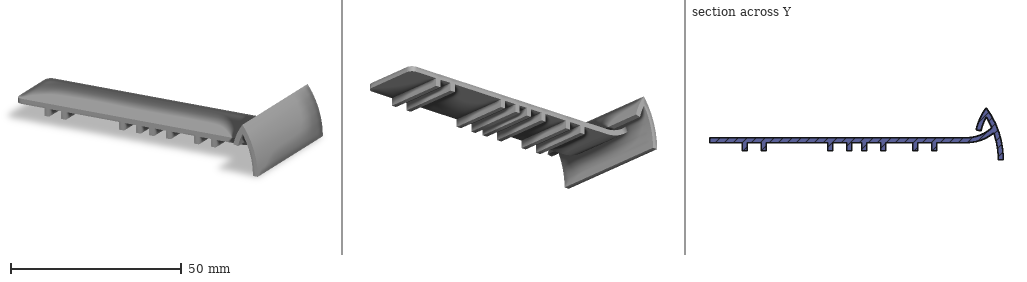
import cadquery as cq
import math

overall_length = 86.3
overall_height = 15.4
wall = 1.6

strip_width = 20.0
corner_radius = 2.0
bend_start = 75.5
bend_inner_radius = 10.8
bend_outer_radius = bend_inner_radius + wall

rib_height = 2.4
rib_pitch = 5.6
first_rib = 9.6
pair_offsets = (0.0, 25.0, 35.0, 50.0)

hook_width = 40.0
hook_bottom = -5.0
hook_tip = hook_bottom + overall_height
main_radius = 25.8
main_inner_radius = main_radius - wall
barb_radius = 17.8
barb_inner_radius = barb_radius - wall
barb_end_angle = math.radians(13.0)

tip_angle = math.asin(overall_height / main_radius)
main_centre = (overall_length - main_radius, hook_bottom)
tip = (main_centre[0] + main_radius * math.cos(tip_angle), hook_tip)

barb_centre = (
    tip[0] + barb_radius * math.cos(tip_angle),
    tip[1] - barb_radius * math.sin(tip_angle),
)


def main_point(radius, angle):
    """Point (X, Z) on an arc of the main wall."""
    return (
        main_centre[0] + radius * math.cos(angle),
        main_centre[1] + radius * math.sin(angle),
    )


def barb_point(radius, angle):
    """Point (X, Z) on an arc of the barb, which bulges toward -X."""
    return (
        barb_centre[0] - radius * math.cos(angle),
        barb_centre[1] + radius * math.sin(angle),
    )


def inner_apex_angles():
    """Angles on the inner main and inner barb arcs at the point where they cross."""
    dx = barb_centre[0] - main_centre[0]
    dz = barb_centre[1] - main_centre[1]
    distance = math.hypot(dx, dz)
    direction = math.atan2(dz, dx)
    cosine = (main_inner_radius**2 + distance**2 - barb_inner_radius**2) / (2 * main_inner_radius * distance)
    main_angle = direction + math.acos(cosine)
    apex_height = main_centre[1] + main_inner_radius * math.sin(main_angle)
    barb_angle = math.asin((apex_height - barb_centre[1]) / barb_inner_radius)
    return main_angle, barb_angle


def extrude_across(profile, width):
    """Extrude an XZ profile by width, centred on Y = 0."""
    return profile.extrude(width / 2, both=True)


def make_hook():
    apex_main, apex_barb = inner_apex_angles()
    barb_middle = (tip_angle + barb_end_angle) / 2
    barb_inner_middle = (apex_barb + barb_end_angle) / 2
    profile = (
        cq.Workplane("XZ")
        .moveTo(*main_point(main_radius, 0))
        .threePointArc(main_point(main_radius, tip_angle / 2), tip)
        .threePointArc(
            barb_point(barb_radius, barb_middle),
            barb_point(barb_radius, barb_end_angle),
        )
        .lineTo(*barb_point(barb_inner_radius, barb_end_angle))
        .threePointArc(
            barb_point(barb_inner_radius, barb_inner_middle),
            barb_point(barb_inner_radius, apex_barb),
        )
        .threePointArc(main_point(main_inner_radius, apex_main / 2), main_point(main_inner_radius, 0))
        .close()
    )
    return extrude_across(profile, hook_width)


def make_strip():
    strip = cq.Workplane("XY").box(bend_start, strip_width, wall, centered=(False, True, False))
    return strip.edges("|Z and <X").fillet(corner_radius)


def make_bend():
    """Upward-curving continuation of the strip, trimmed by the main wall's outer surface."""
    centre_z = wall + bend_inner_radius
    diagonal = math.sqrt(0.5)
    quarter_ring = (
        cq.Workplane("XZ")
        .moveTo(bend_start, 0)
        .threePointArc(
            (bend_start + bend_outer_radius * diagonal, centre_z - bend_outer_radius * diagonal),
            (bend_start + bend_outer_radius, centre_z),
        )
        .lineTo(bend_start + bend_inner_radius, centre_z)
        .threePointArc(
            (bend_start + bend_inner_radius * diagonal, centre_z - bend_inner_radius * diagonal),
            (bend_start, wall),
        )
        .close()
    )
    main_cylinder = cq.Workplane("XZ").center(*main_centre).circle(main_radius)
    return extrude_across(quarter_ring, strip_width).intersect(extrude_across(main_cylinder, strip_width))


def make_ribs():
    """Pairs of full-width ribs, reaching into the strip so that they join it."""
    ribs = cq.Workplane("XY")
    for pair_offset in pair_offsets:
        for rib_offset in (0.0, rib_pitch):
            rib_start = first_rib + pair_offset + rib_offset
            rib = (
                cq.Workplane("XY", origin=(rib_start, 0, -rib_height))
                .box(wall, strip_width, rib_height + wall, centered=(False, True, False))
            )
            ribs = ribs.add(rib)
    return ribs.combine()


result = make_strip().union(make_ribs()).union(make_bend()).union(make_hook())